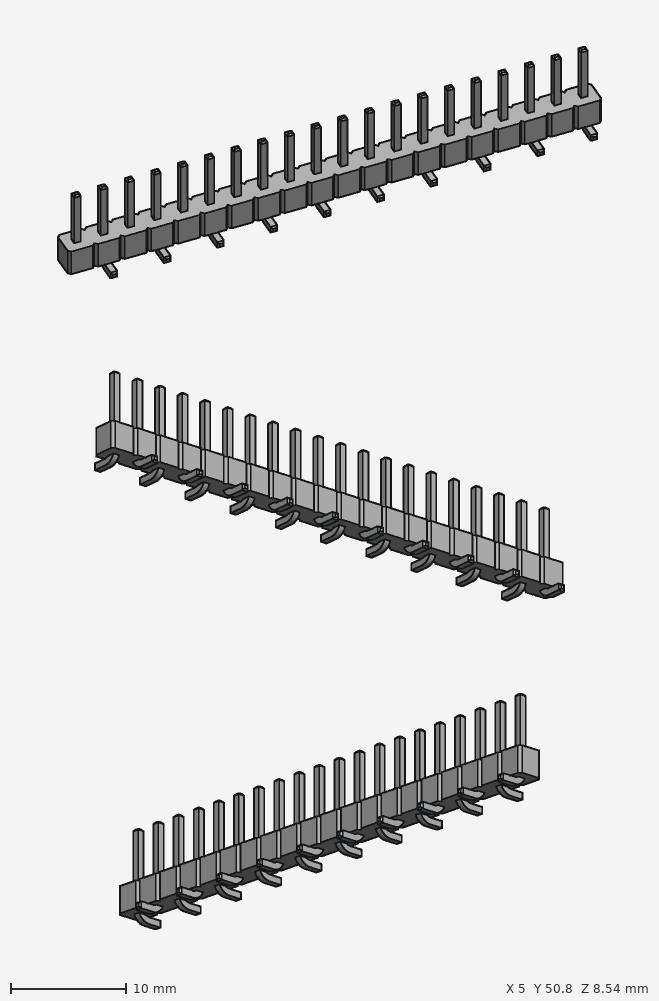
import cadquery as cq

pin_count = 20
pitch = 2.54
row_length = pin_count * pitch

body_width = pitch
body_height = pitch
body_bottom = 0.76
corner_chamfer = 0.1 * pitch

pin_size = 0.64
pin_top = 8.54
foot_reach = 2.5
outer_bend_radius = 2 * pin_size
inner_bend_radius = outer_bend_radius - pin_size
tip_chamfer = pin_size / 4


def pin_y(index):
    """Y position of a pin, counted from the -Y end of the row."""
    return (index + 0.5) * pitch - row_length / 2


def make_body():
    """Row of touching blocks whose chamfered corners leave V grooves between pins."""
    block = (
        cq.Workplane("XY")
        .workplane(offset=body_bottom)
        .rect(body_width, pitch)
        .extrude(body_height)
        .edges("|Z")
        .chamfer(corner_chamfer)
    )
    body = block.translate((0, pin_y(0), 0))
    for index in range(1, pin_count):
        body = body.union(block.translate((0, pin_y(index), 0)))
    return body.clean()


def make_pin():
    """L-shaped pin centred on the Z axis with its foot pointing to +X."""
    half = pin_size / 2
    bend_x = outer_bend_radius - half
    bend_z = outer_bend_radius
    return (
        cq.Workplane("XZ")
        .moveTo(-half, pin_top)
        .lineTo(-half, bend_z)
        .radiusArc((bend_x, 0), -outer_bend_radius)
        .lineTo(foot_reach, 0)
        .lineTo(foot_reach, pin_size)
        .lineTo(bend_x, pin_size)
        .radiusArc((half, bend_z), inner_bend_radius)
        .lineTo(half, pin_top)
        .close()
        .extrude(half, both=True)
        .faces(">Z or >X")
        .chamfer(tip_chamfer)
    )


def add_pins(body):
    """Place the pins with feet alternating between the -X and +X sides."""
    right_pin = make_pin()
    left_pin = right_pin.rotate((0, 0, 0), (0, 0, 1), 180)
    for index in range(pin_count):
        pin = left_pin if index % 2 == 0 else right_pin
        body = body.union(pin.translate((0, pin_y(index), 0)))
    return body


result = add_pins(make_body())